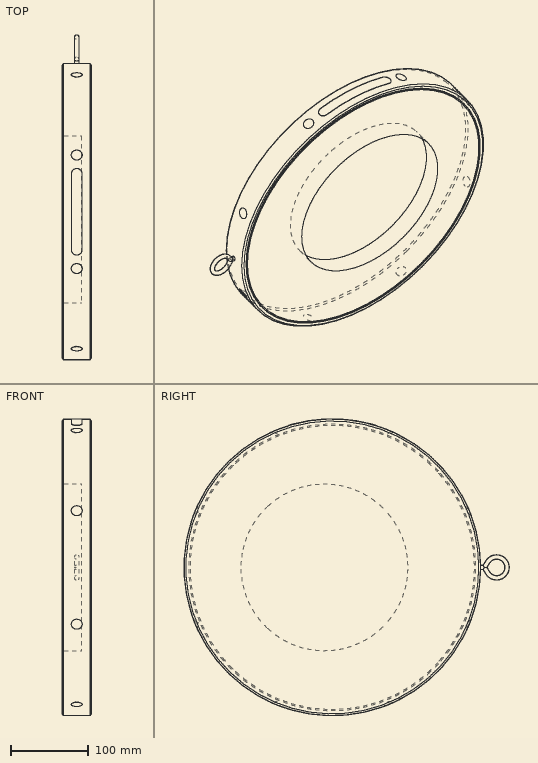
import cadquery as cq
import math

disc_diameter = 384.0
disc_radius = disc_diameter / 2
disc_thickness = 38.0
half_thickness = disc_thickness / 2
chamfer_axial = 1.5
chamfer_radial = 2.5

groove_outer_radius = 185.5
groove_width = 1.5
groove_depth = 1.0

pocket_diameter = 216.0
pocket_offset_y = -10.0
pocket_depth = 25.3

dimple_count = 8
dimple_diameter = 14.0
dimple_point_angle = 118.0

plate_length = 112.0
plate_width = 14.0
plate_height = 0.5
plate_embed = 17.0

overall_length_y = 421.0
eye_tip_y = overall_length_y - disc_radius
eye_outer_diameter = 33.0
wire_diameter = 6.0
leg_start_angle = 32.0
shank_embed = 8.5


def x_cylinder(radius, x_start, length, y=0.0):
    """Cylinder along +X."""
    return cq.Workplane("YZ", origin=(x_start, y, 0)).circle(radius).extrude(length)


def y_cylinder(diameter, y_start, y_end):
    """Cylinder along +Y on the Y axis."""
    plane = cq.Plane(origin=(0, y_start, 0), xDir=(1, 0, 0), normal=(0, 1, 0))
    return cq.Workplane(plane).circle(diameter / 2).extrude(y_end - y_start)


def make_disc():
    """Chamfered disc revolved about the X axis."""
    face_radius = disc_radius - chamfer_radial
    rim_x = half_thickness - chamfer_axial
    profile = [
        (-half_thickness, 0),
        (-half_thickness, face_radius),
        (-rim_x, disc_radius),
        (rim_x, disc_radius),
        (half_thickness, face_radius),
        (half_thickness, 0),
    ]
    return cq.Workplane("XY").polyline(profile).close().revolve(360, (0, 0, 0), (1, 0, 0))


def make_face_groove():
    """Thin ring that is cut from the -X face."""
    outer = x_cylinder(groove_outer_radius, -half_thickness, groove_depth)
    inner = x_cylinder(groove_outer_radius - groove_width, -half_thickness, groove_depth)
    return outer.cut(inner)


def make_dimple(angle):
    """Cone pointing at the disc axis, with its full diameter at the rim."""
    radius = dimple_diameter / 2
    half_angle = math.radians(dimple_point_angle / 2)
    outward = cq.Vector(0, math.cos(angle), math.sin(angle))
    rim_distance = math.sqrt(disc_radius**2 - radius**2)
    start_radius = 2 * radius
    start_distance = rim_distance + (start_radius - radius) / math.tan(half_angle)
    cone = cq.Solid.makeCone(
        start_radius,
        0,
        start_radius / math.tan(half_angle),
        outward * start_distance,
        outward * -1,
    )
    return cq.Workplane(cone)


def make_nameplate():
    """Round-ended plate that follows the rim."""
    base = cq.Workplane("XY", origin=(0, 0, disc_radius - plate_embed))
    column = base.slot2D(plate_length, plate_width, 90).extrude(2 * plate_embed)
    return column.intersect(x_cylinder(disc_radius + plate_height, -half_thickness, disc_thickness))


def make_eye_bolt():
    """Teardrop loop of round wire in the YZ plane, with a shank reaching into the rim."""
    loop_radius = (eye_outer_diameter - wire_diameter) / 2
    loop_y = eye_tip_y - eye_outer_diameter / 2
    bend_y = loop_y - loop_radius / math.cos(math.radians(leg_start_angle))
    leg_y = loop_y - loop_radius * math.cos(math.radians(leg_start_angle))
    leg_z = loop_radius * math.sin(math.radians(leg_start_angle))

    path = (
        cq.Workplane("YZ")
        .moveTo(bend_y, 0)
        .lineTo(leg_y, leg_z)
        .threePointArc((loop_y + loop_radius, 0), (leg_y, -leg_z))
        .lineTo(bend_y, 0)
    )
    leg_direction = (0, leg_y - bend_y, leg_z)
    wire_start = cq.Plane(origin=(0, bend_y, 0), xDir=(1, 0, 0), normal=leg_direction)
    loop = cq.Workplane(wire_start).circle(wire_diameter / 2).sweep(path)

    shank = y_cylinder(wire_diameter, disc_radius - shank_embed, bend_y)
    bend = cq.Workplane("XY", origin=(0, bend_y, 0)).sphere(wire_diameter / 2)
    return loop.union(bend).union(shank)


result = make_disc()
result = result.cut(x_cylinder(pocket_diameter / 2, -half_thickness, pocket_depth, pocket_offset_y))
result = result.cut(make_face_groove())
for index in range(dimple_count):
    result = result.cut(make_dimple(2 * math.pi * (index + 0.5) / dimple_count))
result = result.union(make_nameplate()).union(make_eye_bolt())